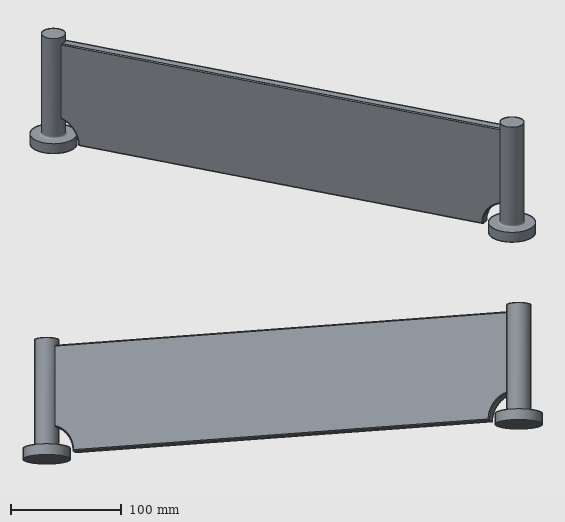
import cadquery as cq

overall_length = 496.5
overall_height = 110.0

flange_diameter = 42.5
flange_thickness = 10.0
post_diameter = 22.0
root_fillet = 2.0
post_offset = (overall_length - flange_diameter) / 2

panel_thickness = 10.0
panel_bottom = 5.0
panel_height = 99.0
panel_edge_chamfer = 1.0
corner_cutout_radius = 25.0
cutout_inset = 2.0
cutout_offset = post_offset - cutout_inset


def make_post(x):
    """Round post on a disc flange, with a fillet where the post meets the flange."""
    flange = cq.Workplane("XY").circle(flange_diameter / 2).extrude(flange_thickness)
    shaft = cq.Workplane("XY").circle(post_diameter / 2).extrude(overall_height)
    post = flange.union(shaft)
    post = post.faces(">Z[-2]").edges(cq.selectors.RadiusNthSelector(0)).fillet(root_fillet)
    return post.translate((x, 0, 0))


def make_panel():
    """Upright panel with rounded lower cutouts, its ends hollowed to seat on the posts."""
    panel = (
        cq.Workplane("XY", origin=(0, 0, panel_bottom))
        .box(2 * post_offset, panel_thickness, panel_height, centered=(True, True, False))
    )
    cutouts = (
        cq.Workplane("XZ", origin=(0, 0, panel_bottom))
        .pushPoints([(-cutout_offset, 0), (cutout_offset, 0)])
        .circle(corner_cutout_radius)
        .extrude(panel_thickness, both=True)
    )
    panel = panel.cut(cutouts)
    panel = panel.faces("<Y or >Y").chamfer(panel_edge_chamfer)
    seats = (
        cq.Workplane("XY")
        .pushPoints([(-post_offset, 0), (post_offset, 0)])
        .circle(post_diameter / 2)
        .extrude(overall_height)
    )
    return panel.cut(seats)


posts = [make_post(side * post_offset) for side in (-1, 1)]
panel = make_panel()

result = cq.Compound.makeCompound([panel.val(), *[post.val() for post in posts]])